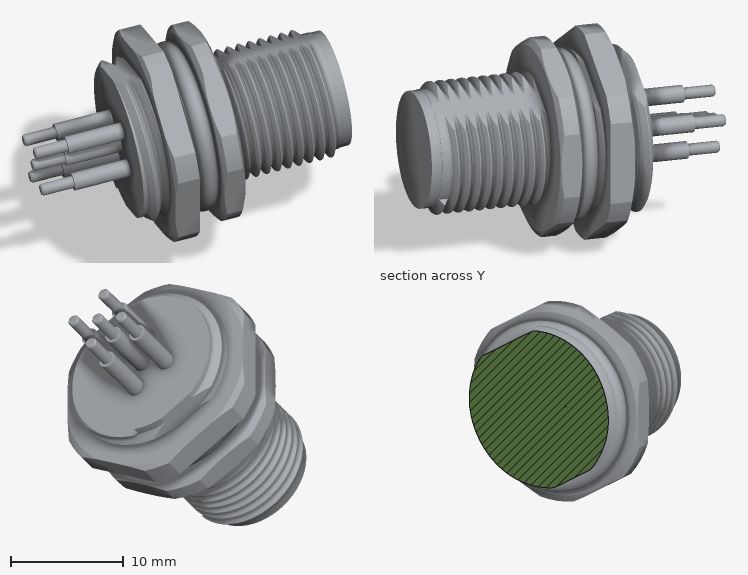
import cadquery as cq
import math

OVERLAP = 0.1

TOTAL_LENGTH = 28.2
PIN_LENGTH = 8.18
SLEEVE_LENGTH = 5.2
NUT_START = 2.28
NUT_END = 4.55
RING_START = 5.05
FLANGE_START = 6.97
FLANGE_END = 9.02
NOSE_START = 19.05
BODY_END = TOTAL_LENGTH - PIN_LENGTH

REAR_MAJOR_RADIUS = 7.53
REAR_ROOT_RADIUS = 6.88
REAR_PITCH = 1.4
REAR_BASE_WIDTH = 1.25
REAR_CREST_WIDTH = 0.08
REAR_CREST_Y = 1.05
REAR_FLAT_DISTANCE = 6.68
REAR_END_ANGLE = 263

FRONT_MAJOR_RADIUS = 5.95
FRONT_ROOT_RADIUS = 5.33
FRONT_TURNS = 9
FRONT_TURNS_LENGTH = 9.0
FRONT_PITCH = FRONT_TURNS_LENGTH / FRONT_TURNS
FRONT_BASE_WIDTH = 0.82
FRONT_CREST_WIDTH = 0.08
FRONT_CREST_Y = 18.2
FRONT_FLAT_DISTANCE = 5.27
FRONT_START_ANGLE = 220
NOSE_RADIUS = 5.27

FLAT_ANGLE = 120

NUT_ACROSS_FLATS = 18.0
NUT_DIAMETER = 19.5
NUT_CHAMFER_WIDTH = 0.6
NUT_CHAMFER_HEIGHT = 0.25
FLANGE_ACROSS_FLATS = 17.0
FLANGE_DIAMETER = 18.0
FLANGE_CHAMFER_WIDTH = 0.62
FLANGE_CHAMFER_HEIGHT = 0.3

RING_OUTER_RADIUS = 7.78
RING_TUBE_RADIUS = (FLANGE_START - RING_START) / 2

SLEEVE_RADIUS = 0.8
PIN_RADIUS = 0.54
PIN_TIP_RADIUS = 0.42
PIN_TIP_LENGTH = 0.17
PIN_CIRCLE_RADIUS = 2.5
PIN_COUNT = 4
PIN_FIRST_ANGLE = 75


def revolve_profile(points):
    """Revolve a closed (radius, y) outline around the Y axis."""
    return cq.Workplane("XY").polyline(points).close().revolve(360, (0, 0, 0), (0, 1, 0))


def cylinder(radius, start, end):
    return revolve_profile([(0, start), (radius, start), (radius, end), (0, end)])


def rounded_hexagon(across_flats, diameter, start, end, chamfer_width, rear_chamfer, front_chamfer):
    """Hexagon with flats facing +X and -X, trimmed by a turned blank with conical edges."""
    blank_radius = diameter / 2
    face_radius = blank_radius - chamfer_width
    outline = [(0, start)]
    if rear_chamfer:
        outline += [(face_radius, start), (blank_radius, start + rear_chamfer)]
    else:
        outline.append((blank_radius, start))
    if front_chamfer:
        outline += [(blank_radius, end - front_chamfer), (face_radius, end)]
    else:
        outline.append((blank_radius, end))
    outline.append((0, end))
    corner_diameter = across_flats / math.cos(math.pi / 6)
    hexagon = (
        cq.Workplane("XZ", origin=(0, end, 0))
        .transformed(rotate=(0, 0, 30))
        .polygon(6, corner_diameter)
        .extrude(end - start)
    )
    return hexagon.intersect(revolve_profile(outline))


def thread_ridge(root_radius, major_radius, pitch, base_width, crest_width, front_y, front_angle, length):
    """Right-handed ridge that starts at front_y and front_angle and winds toward -Y."""
    inner_radius = root_radius - OVERLAP
    profile = [
        (inner_radius, -base_width / 2),
        (root_radius, -base_width / 2),
        (major_radius, -crest_width / 2),
        (major_radius, crest_width / 2),
        (root_radius, base_width / 2),
        (inner_radius, base_width / 2),
    ]
    edges = [
        cq.Wire.makeHelix(pitch, length, radius).translate(cq.Vector(0, 0, offset))
        for radius, offset in profile
    ]
    sides = [cq.Face.makeRuledSurface(edges[i - 1], edges[i]) for i in range(len(edges))]
    start_outline = cq.Wire.makePolygon([edge.startPoint() for edge in edges], close=True)
    end_outline = cq.Wire.makePolygon([edge.endPoint() for edge in edges], close=True)
    caps = [cq.Face.makeFromWires(start_outline), cq.Face.makeFromWires(end_outline)]
    shell = cq.Shell.makeShell(sides + caps)
    ridge = cq.Workplane(obj=cq.Solid.makeSolid(shell).fix())
    return (
        ridge.rotate((0, 0, 0), (1, 0, 0), 90)
        .rotate((0, 0, 0), (0, 1, 0), -front_angle)
        .translate((0, front_y, 0))
    )


def flat_cutter(distance, angle, start, end):
    """Block that removes everything beyond a plane at the given distance from the axis."""
    size = 2 * REAR_MAJOR_RADIUS
    block = cq.Workplane("XY").box(size, end - start, size, centered=(False, False, True))
    return block.translate((distance, start, 0)).rotate((0, 0, 0), (0, 1, 0), -angle)


def rear_section():
    turns_ahead = math.ceil((RING_START - REAR_CREST_Y) / REAR_PITCH) + 1
    ridge_front = REAR_CREST_Y + turns_ahead * REAR_PITCH
    ridge_length = (turns_ahead + REAR_END_ANGLE / 360) * REAR_PITCH
    ridge = thread_ridge(
        REAR_ROOT_RADIUS, REAR_MAJOR_RADIUS, REAR_PITCH, REAR_BASE_WIDTH, REAR_CREST_WIDTH,
        ridge_front, 0, ridge_length,
    )
    ridge = ridge.intersect(cylinder(2 * REAR_MAJOR_RADIUS, 0, RING_START), clean=False)
    section = cylinder(REAR_ROOT_RADIUS, 0, FLANGE_START).union(ridge, clean=False)
    for angle in (FLAT_ANGLE, FLAT_ANGLE + 180):
        section = section.cut(flat_cutter(REAR_FLAT_DISTANCE, angle, 0, RING_START), clean=False)
    return section


def front_section():
    ridge_front = FRONT_CREST_Y + FRONT_PITCH * (1 - FRONT_START_ANGLE / 360)
    ridge = thread_ridge(
        FRONT_ROOT_RADIUS, FRONT_MAJOR_RADIUS, FRONT_PITCH, FRONT_BASE_WIDTH, FRONT_CREST_WIDTH,
        ridge_front, FRONT_START_ANGLE, ridge_front - FLANGE_END + FRONT_BASE_WIDTH / 2,
    )
    ridge = ridge.intersect(cylinder(2 * FRONT_MAJOR_RADIUS, FLANGE_START, NOSE_START), clean=False)
    section = cylinder(FRONT_ROOT_RADIUS, FLANGE_START, NOSE_START).union(ridge, clean=False)
    section = section.cut(flat_cutter(FRONT_FLAT_DISTANCE, FLAT_ANGLE, FLANGE_END, NOSE_START), clean=False)
    return section.union(cylinder(NOSE_RADIUS, NOSE_START, BODY_END), clean=False)


def sealing_ring():
    tube_centre = (RING_OUTER_RADIUS - RING_TUBE_RADIUS, RING_START + RING_TUBE_RADIUS)
    return (
        cq.Workplane("XY")
        .moveTo(*tube_centre)
        .circle(RING_TUBE_RADIUS)
        .revolve(360, (0, 0, 0), (0, 1, 0))
    )


def pin():
    return revolve_profile([
        (0, NUT_START),
        (SLEEVE_RADIUS, NUT_START),
        (SLEEVE_RADIUS, -SLEEVE_LENGTH),
        (PIN_RADIUS, -SLEEVE_LENGTH),
        (PIN_RADIUS, PIN_TIP_LENGTH - PIN_LENGTH),
        (PIN_TIP_RADIUS, -PIN_LENGTH),
        (0, -PIN_LENGTH),
    ])


flange = rounded_hexagon(
    FLANGE_ACROSS_FLATS, FLANGE_DIAMETER, FLANGE_START, FLANGE_END,
    FLANGE_CHAMFER_WIDTH, FLANGE_CHAMFER_HEIGHT, FLANGE_CHAMFER_HEIGHT,
)
nut = rounded_hexagon(
    NUT_ACROSS_FLATS, NUT_DIAMETER, NUT_START, NUT_END,
    NUT_CHAMFER_WIDTH, NUT_CHAMFER_HEIGHT, 0,
)

assembly = rear_section().union(front_section()).union(flange).union(nut).union(sealing_ring())
assembly = assembly.union(pin())
for index in range(PIN_COUNT):
    pin_angle = math.radians(PIN_FIRST_ANGLE + index * 360 / PIN_COUNT)
    pin_x = PIN_CIRCLE_RADIUS * math.cos(pin_angle)
    pin_z = PIN_CIRCLE_RADIUS * math.sin(pin_angle)
    assembly = assembly.union(pin().translate((pin_x, 0, pin_z)))

result = cq.Workplane(obj=assembly.solids().val())